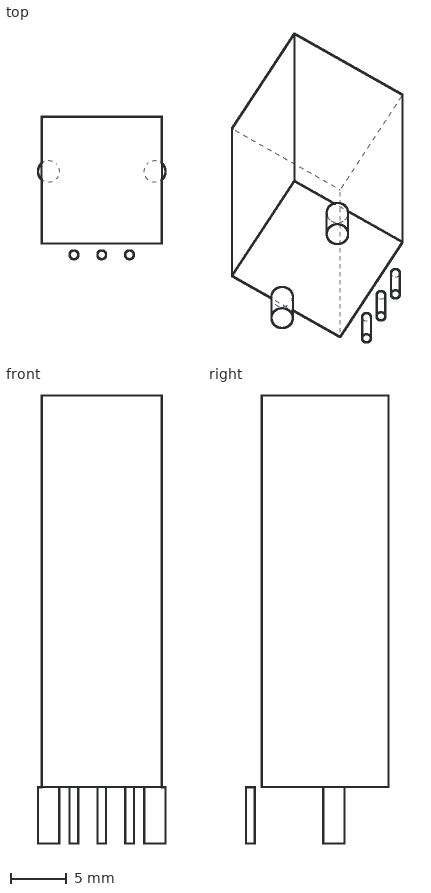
import cadquery as cq

total_height = 40.1
leg_length = 5.05
housing_width = 10.75
housing_depth = 11.35
housing_height = total_height - leg_length

peg_diameter = 1.92
peg_spacing = 9.5
peg_from_back = 4.9

pin_diameter = 0.8
pin_pitch = 2.5
pin_count = 3
total_depth = 12.75

housing_back_y = housing_depth / 2
peg_y = housing_back_y - peg_from_back
pin_y = housing_back_y - total_depth + pin_diameter / 2


def make_housing():
    """Plain rectangular block resting on the plane Z = 0."""
    return cq.Workplane("XY").box(
        housing_width, housing_depth, housing_height, centered=(True, True, False)
    )


def make_leg(diameter, x, y):
    """Round leg hanging down from the plane Z = 0."""
    return cq.Workplane("XY").center(x, y).circle(diameter / 2).extrude(-leg_length)


housing = make_housing()

pegs = []
for side in (-1, 1):
    pegs.append(make_leg(peg_diameter, side * peg_spacing / 2, peg_y).val())

pins = []
for index in range(pin_count):
    pin_x = (index - (pin_count - 1) / 2) * pin_pitch
    pins.append(make_leg(pin_diameter, pin_x, pin_y).val())

result = cq.Compound.makeCompound([housing.val(), *pegs, *pins])